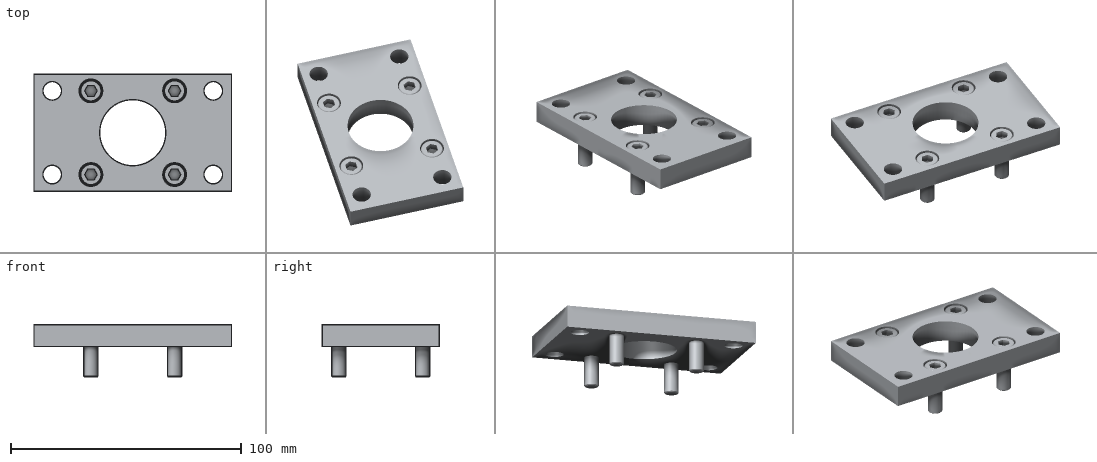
import cadquery as cq
import math

plate_length = 85.72
plate_width = 50.8
plate_thickness = 9.525
bore_diameter = 28.575
corner_hole_diameter = 7.94
corner_hole_pitch_x = 69.85
hole_pitch_y = 36.3

screw_pitch_x = hole_pitch_y
overall_height = 22.63
shank_diameter = 6.35
shank_chamfer = 0.4
head_diameter = 9.525
head_height = shank_diameter
head_chamfer = 0.4
head_recess = 0.405
socket_across_flats = 4.76
socket_depth = head_height / 2

counterbore_diameter = 10.32
counterbore_depth = head_recess + head_height
shank_length = overall_height - counterbore_depth

screw_centres = [
    (side_x * screw_pitch_x / 2, side_y * hole_pitch_y / 2)
    for side_x in (-1, 1)
    for side_y in (-1, 1)
]


def make_plate():
    """Rectangular plate with a central bore, corner holes and screw seats."""
    blank = cq.Workplane("XY").box(
        plate_length, plate_width, plate_thickness, centered=(True, True, False)
    ).translate((0, 0, -plate_thickness))
    bored = blank.faces(">Z").workplane(origin=(0, 0, 0)).hole(bore_diameter)
    drilled = (
        bored.faces(">Z").workplane(origin=(0, 0, 0))
        .rarray(corner_hole_pitch_x, hole_pitch_y, 2, 2)
        .hole(corner_hole_diameter)
    )
    return (
        drilled.faces(">Z").workplane(origin=(0, 0, 0))
        .pushPoints(screw_centres)
        .cboreHole(shank_diameter, counterbore_diameter, counterbore_depth)
    )


def make_screw(centre_x, centre_y):
    """Socket head cap screw, seated on the floor of its counterbore."""
    head = (
        cq.Workplane("XY").workplane(offset=-counterbore_depth)
        .circle(head_diameter / 2).extrude(head_height)
        .faces(">Z").edges().chamfer(head_chamfer)
    )
    shank = (
        cq.Workplane("XY").workplane(offset=-counterbore_depth)
        .circle(shank_diameter / 2).extrude(-shank_length)
        .faces("<Z").edges().chamfer(shank_chamfer)
    )
    socket_across_corners = socket_across_flats / math.cos(math.pi / 6)
    socket = (
        cq.Workplane("XY").workplane(offset=-head_recess)
        .polygon(6, socket_across_corners).extrude(-socket_depth)
    )
    return head.union(shank).cut(socket).translate((centre_x, centre_y, 0))


plate = make_plate()
screws = [make_screw(x, y) for x, y in screw_centres]

result = cq.Compound.makeCompound([plate.val(), *[screw.val() for screw in screws]])